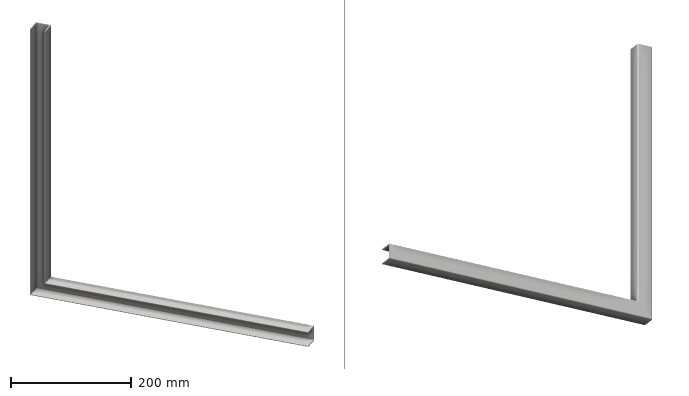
import cadquery as cq

arm_length = 500.0
channel_width = 28.0
channel_depth = 26.0
wall = 2.0
bend_radius = 2.0
tip_radius = 0.5


def l_bar(width, depth):
    """L-shaped bar with both arms of the given width, from the back face at Y = 0 towards -Y."""
    return (
        cq.Workplane("XZ")
        .polyline([
            (0, 0),
            (arm_length, 0),
            (arm_length, width),
            (width, width),
            (width, arm_length),
            (0, arm_length),
        ])
        .close()
        .extrude(depth)
    )


channel = l_bar(channel_width, channel_depth)
channel = channel.faces(">Y").edges("not(>X or >Z)").fillet(bend_radius)

cavity_width = channel_width - 2 * wall
cavity = l_bar(cavity_width, channel_depth).translate((wall, -wall, wall))
channel = channel.cut(cavity)

channel = channel.faces("<Y").edges("not(>X or >Z)").fillet(tip_radius)

result = channel